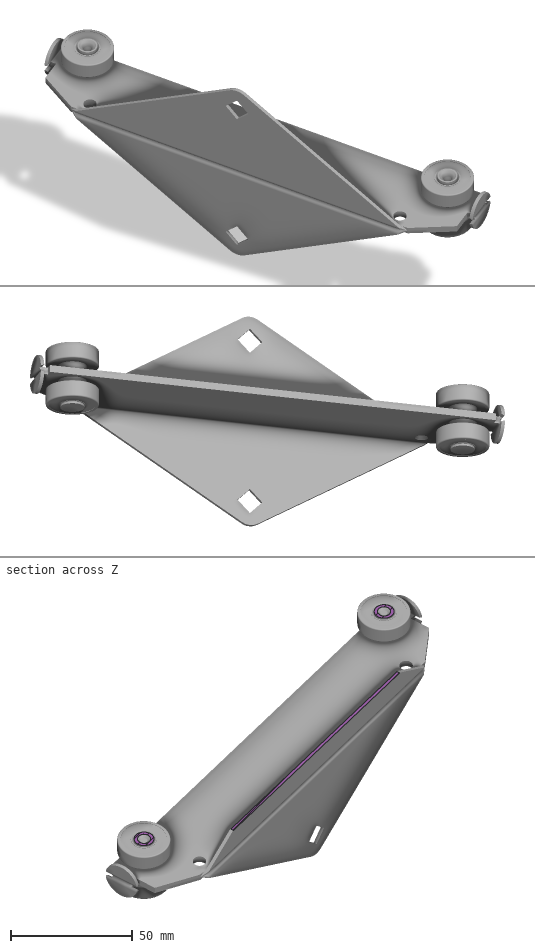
import cadquery as cq
import math

SHEET = 1.5
BEND_OUTER = 2.0
BEND_INNER = BEND_OUTER - SHEET

WEB_HALF_LENGTH = 96.0
WEB_BACK_Y = 34.9
WEB_CORNER_Y = 12.5
EDGE_SLOPE = math.tan(math.radians(31))
WEB_HOLE_DIAMETER = 5.5
WEB_HOLE_X = 72.3
WEB_HOLE_Y = 7.0

FLANGE_TIP_Z = 46.13
FLANGE_TIP_RADIUS = 6.5
FLANGE_HOLE_SIDE = 7.5
FLANGE_HOLE_Z = 35.5

ROLLER_X = 84.0
ROLLER_DIAMETER = 22.0
ROLLER_BACK_Y = 37.9
ROLLER_Y = ROLLER_BACK_Y - ROLLER_DIAMETER / 2
ROLLER_WIDTH = 7.0
ROLLER_EDGE_FILLET = 0.5
ROLLER_INNER_Z = 5.0
ROLLER_OUTER_Z = ROLLER_INNER_Z + ROLLER_WIDTH
GROOVE_OUTER_DIAMETER = 19.2
GROOVE_INNER_DIAMETER = 10.8
GROOVE_DEPTH = 0.2
SPACER_DIAMETER = 12.0
AXLE_HEAD_DIAMETER = 10.0
AXLE_RIVET_DIAMETER = 8.4
AXLE_END_Z = 13.0
BORE_CHAMFER = 0.7
RIVET_HOLE_DIAMETER = 7.0
RIVET_HOLE_BOTTOM_DIAMETER = 3.0
RIVET_HOLE_DEPTH = 1.8

DISC_FACE_X = 99.9
DISC_DIAMETER = 16.0
DISC_TAB_WIDTH = 10.0
DISC_RELIEF_ANGLE = math.radians(30)


def both_sheets(upper):
    """Add the mirror image below Z = 0 to the upper sheet."""
    return upper.union(upper.mirror("XY"))


def fold_profile(plane, face, web_end, flange_end):
    """Cross-section of one folded sheet: flange at `face`, web running toward `web_end`.

    Local x runs along the web, local y is the height above Z = 0.
    """
    way = math.copysign(1, web_end - face)
    bend_x = face + way * BEND_OUTER
    corner = math.sqrt(0.5)
    return (
        cq.Workplane(plane)
        .moveTo(web_end, 0)
        .lineTo(bend_x, 0)
        .threePointArc(
            (bend_x - way * BEND_OUTER * corner, BEND_OUTER * (1 - corner)), (face, BEND_OUTER)
        )
        .lineTo(face, flange_end)
        .lineTo(face + way * SHEET, flange_end)
        .lineTo(face + way * SHEET, BEND_OUTER)
        .threePointArc(
            (bend_x - way * BEND_INNER * corner, BEND_OUTER - BEND_INNER * corner), (bend_x, SHEET)
        )
        .lineTo(web_end, SHEET)
        .close()
    )


def make_body():
    """Double web with one triangular flange up and one down."""
    upper = fold_profile("YZ", 0, WEB_BACK_Y, FLANGE_TIP_Z + FLANGE_TIP_RADIUS)
    upper = upper.extrude(WEB_HALF_LENGTH, both=True)

    sharp_tip_z = FLANGE_TIP_Z + FLANGE_TIP_RADIUS * (math.hypot(1, EDGE_SLOPE) - 1)
    flange_half_length = sharp_tip_z / EDGE_SLOPE
    flange_outline = (
        cq.Workplane("XZ")
        .polyline([(-flange_half_length, 0), (flange_half_length, 0), (0, sharp_tip_z)])
        .close()
        .extrude(-BEND_OUTER)
        .edges("|Y and >Z")
        .fillet(FLANGE_TIP_RADIUS)
    )

    bend_back_x = WEB_HALF_LENGTH - (WEB_CORNER_Y - BEND_OUTER) / EDGE_SLOPE
    bend_front_x = (sharp_tip_z - BEND_OUTER) / EDGE_SLOPE
    web_outline = (
        cq.Workplane("XY")
        .polyline([
            (-WEB_HALF_LENGTH, WEB_BACK_Y),
            (-WEB_HALF_LENGTH, WEB_CORNER_Y),
            (-bend_back_x, BEND_OUTER),
            (-bend_front_x, 0),
            (bend_front_x, 0),
            (bend_back_x, BEND_OUTER),
            (WEB_HALF_LENGTH, WEB_CORNER_Y),
            (WEB_HALF_LENGTH, WEB_BACK_Y),
        ])
        .close()
        .extrude(2 * FLANGE_TIP_Z)
    )
    behind_bend = cq.Workplane("XY").box(
        2 * WEB_HALF_LENGTH, WEB_BACK_Y - BEND_OUTER, SHEET, centered=(True, False, False)
    ).translate((0, BEND_OUTER, 0))

    upper = upper.intersect(web_outline).intersect(flange_outline.union(behind_bend))
    body = both_sheets(upper)

    web_holes = (
        cq.Workplane("XY", origin=(0, 0, -SHEET))
        .pushPoints([(-WEB_HOLE_X, WEB_HOLE_Y), (WEB_HOLE_X, WEB_HOLE_Y)])
        .circle(WEB_HOLE_DIAMETER / 2)
        .extrude(2 * SHEET)
    )
    diamond_holes = (
        cq.Workplane("XZ")
        .pushPoints([(0, -FLANGE_HOLE_Z), (0, FLANGE_HOLE_Z)])
        .polygon(4, FLANGE_HOLE_SIDE * math.sqrt(2))
        .extrude(-SHEET)
    )
    return body.cut(web_holes).cut(diamond_holes)


def make_end_disc():
    """Right-hand end disc: two half discs folded up and down from a narrow tab."""
    radius = DISC_DIAMETER / 2
    upper = fold_profile("XZ", DISC_FACE_X, WEB_HALF_LENGTH, radius).extrude(radius, both=True)
    round_outline = cq.Workplane("YZ").circle(radius).extrude(DISC_FACE_X)
    upper = upper.intersect(round_outline)

    bend_x = DISC_FACE_X - BEND_OUTER
    relief = (
        cq.Workplane("XZ")
        .polyline([
            (WEB_HALF_LENGTH, BEND_OUTER),
            (bend_x, BEND_OUTER),
            (DISC_FACE_X, BEND_OUTER - BEND_OUTER * math.tan(DISC_RELIEF_ANGLE)),
            (DISC_FACE_X, 0),
            (WEB_HALF_LENGTH, 0),
        ])
        .close()
        .extrude(radius, both=True)
    )
    tab = cq.Workplane("XY").box(2 * DISC_FACE_X, DISC_TAB_WIDTH, DISC_DIAMETER)
    disc = both_sheets(upper.cut(relief.cut(tab)))
    return disc.translate((0, ROLLER_Y, 0))


def make_roller():
    """Upper roller: bearing with a shallow ring groove in each face and a chamfered bore."""
    roller = (
        cq.Workplane("XY", origin=(0, 0, ROLLER_INNER_Z))
        .circle(ROLLER_DIAMETER / 2)
        .extrude(ROLLER_WIDTH)
        .edges()
        .fillet(ROLLER_EDGE_FILLET)
    )
    for bottom_z in (ROLLER_INNER_Z, ROLLER_OUTER_Z - GROOVE_DEPTH):
        groove = (
            cq.Workplane("XY", origin=(0, 0, bottom_z))
            .circle(GROOVE_OUTER_DIAMETER / 2)
            .circle(GROOVE_INNER_DIAMETER / 2)
            .extrude(GROOVE_DEPTH)
        )
        roller = roller.cut(groove)
    bore_chamfer = (
        cq.Workplane("XY", origin=(0, 0, ROLLER_OUTER_Z))
        .circle(AXLE_RIVET_DIAMETER / 2 + BORE_CHAMFER)
        .workplane(offset=-BORE_CHAMFER)
        .circle(AXLE_RIVET_DIAMETER / 2)
        .loft()
    )
    return roller.cut(bore_chamfer)


def make_roller_pair():
    """Two rollers on one riveted axle, with spacers to the web."""
    rollers = both_sheets(make_roller())
    spacer_end_z = ROLLER_INNER_Z + GROOVE_DEPTH
    spacers = cq.Workplane("XY").circle(SPACER_DIAMETER / 2).extrude(spacer_end_z, both=True)
    head = cq.Workplane("XY").circle(AXLE_HEAD_DIAMETER / 2).extrude(-AXLE_END_Z)
    rivet = cq.Workplane("XY").circle(AXLE_RIVET_DIAMETER / 2).extrude(AXLE_END_Z)
    rivet_hole = (
        cq.Workplane("XY", origin=(0, 0, AXLE_END_Z))
        .circle(RIVET_HOLE_DIAMETER / 2)
        .workplane(offset=-RIVET_HOLE_DEPTH)
        .circle(RIVET_HOLE_BOTTOM_DIAMETER / 2)
        .loft()
    )
    return rollers.union(spacers).union(head).union(rivet).cut(rivet_hole)


result = make_body()
end_disc = make_end_disc()
result = result.union(end_disc).union(end_disc.mirror("YZ"))
for side in (-1, 1):
    result = result.union(make_roller_pair().translate((side * ROLLER_X, ROLLER_Y, 0)))